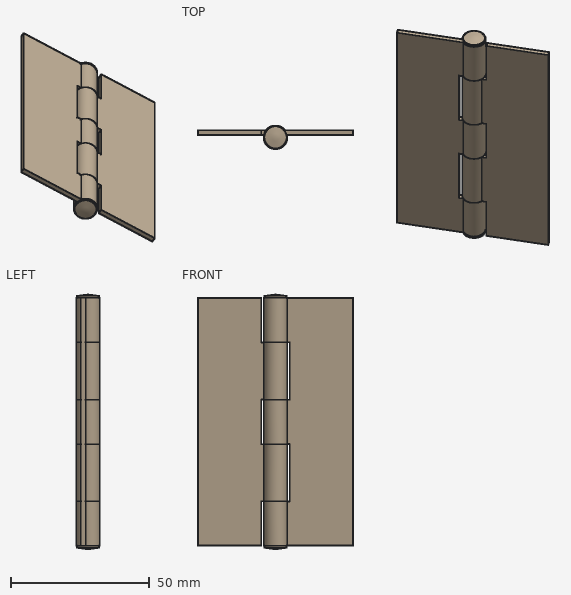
import cadquery as cq

TOTAL_LENGTH = 92.0
OPEN_WIDTH = 56.0
KNUCKLE_DIAMETER = 8.6
PLATE_THICKNESS = 1.75
PLATE_FRONT_Y = 0.8
KNUCKLE_CLEARANCE = 0.8
RIGHT_KNUCKLE_LENGTH = 16.0
LEFT_KNUCKLE_LENGTH = 20.7
CAP_DIAMETER = 8.0
CAP_RIM_HEIGHT = 0.7

knuckle_radius = KNUCKLE_DIAMETER / 2
plate_inner_x = knuckle_radius + KNUCKLE_CLEARANCE
plate_outer_x = OPEN_WIDTH / 2
leaf_length = 3 * RIGHT_KNUCKLE_LENGTH + 2 * LEFT_KNUCKLE_LENGTH
leaf_bottom_z = -leaf_length / 2
cap_height = (TOTAL_LENGTH - leaf_length) / 2
knuckle_pitch = RIGHT_KNUCKLE_LENGTH + LEFT_KNUCKLE_LENGTH
right_knuckle_starts = [leaf_bottom_z + i * knuckle_pitch for i in range(3)]
left_knuckle_starts = [z + RIGHT_KNUCKLE_LENGTH for z in right_knuckle_starts[:2]]


def plate_block(start_x, end_x, bottom_z, height):
    """Flat stretch of leaf between two X positions."""
    return (
        cq.Workplane("XY")
        .box(end_x - start_x, PLATE_THICKNESS, height, centered=False)
        .translate((start_x, PLATE_FRONT_Y, bottom_z))
    )


def make_right_leaf(knuckle_starts, knuckle_length):
    """Plate on the +X side, joined by a tongue to each of its knuckles."""
    leaf = plate_block(plate_inner_x, plate_outer_x, leaf_bottom_z, leaf_length)
    for start_z in knuckle_starts:
        tongue = plate_block(0, plate_inner_x, start_z, knuckle_length)
        knuckle = (
            cq.Workplane("XY")
            .workplane(offset=start_z)
            .circle(knuckle_radius)
            .extrude(knuckle_length)
        )
        leaf = leaf.union(tongue).union(knuckle)
    return leaf


def make_left_leaf(knuckle_starts, knuckle_length):
    """Mirrored plate on the -X side, with its own knuckles."""
    return make_right_leaf(knuckle_starts, knuckle_length).mirror("YZ")


def make_top_cap():
    """Disc with a shallow conical crown, resting on the top end knuckle."""
    base_z = leaf_length / 2
    rim_z = base_z + CAP_RIM_HEIGHT
    apex_z = base_z + cap_height
    cap_radius = CAP_DIAMETER / 2
    return (
        cq.Workplane("XZ")
        .moveTo(0, base_z)
        .lineTo(cap_radius, base_z)
        .lineTo(cap_radius, rim_z)
        .lineTo(0, apex_z)
        .close()
        .revolve(360, (0, 0, 0), (0, 1, 0))
    )


right_leaf = make_right_leaf(right_knuckle_starts, RIGHT_KNUCKLE_LENGTH)
left_leaf = make_left_leaf(left_knuckle_starts, LEFT_KNUCKLE_LENGTH)

end_caps = []
for flip_angle in (0, 180):
    cap = make_top_cap().rotate((0, 0, 0), (1, 0, 0), flip_angle)
    end_caps.append(cap.val())

result = cq.Compound.makeCompound([right_leaf.val(), left_leaf.val(), *end_caps])